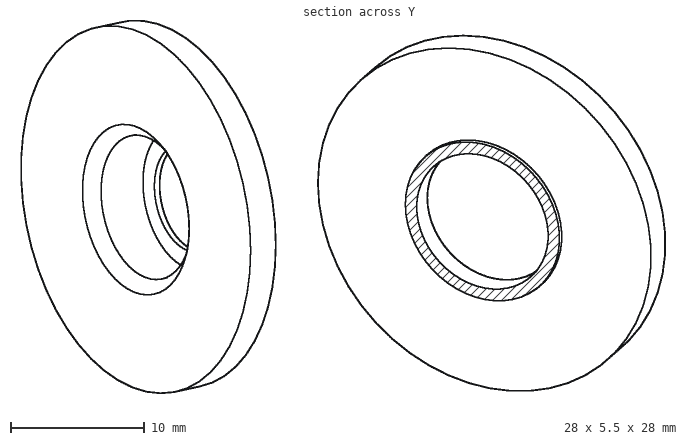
import cadquery as cq

flange_diameter = 28.0
flange_thickness = 2.4
boss_diameter = 13.0
total_length = 5.5

bore_diameter = 11.0
lip_hole_diameter = 8.2
lip_thickness = 0.5
bore_depth = total_length - lip_thickness

chamfer_size = (boss_diameter - bore_diameter) / 2


def cylinder_along_y(diameter, length):
    """Cylinder from Y = 0 toward +Y."""
    return cq.Workplane("XZ").circle(diameter / 2).extrude(-length)


flange = cylinder_along_y(flange_diameter, flange_thickness)
boss = cylinder_along_y(boss_diameter, total_length)
body = flange.union(boss)

bore = cylinder_along_y(bore_diameter, bore_depth)
lip_hole = cylinder_along_y(lip_hole_diameter, total_length)
body = body.cut(bore).cut(lip_hole)

bore_edge = cq.selectors.RadiusNthSelector(0)
result = body.faces("<Y").edges(bore_edge).chamfer(chamfer_size)